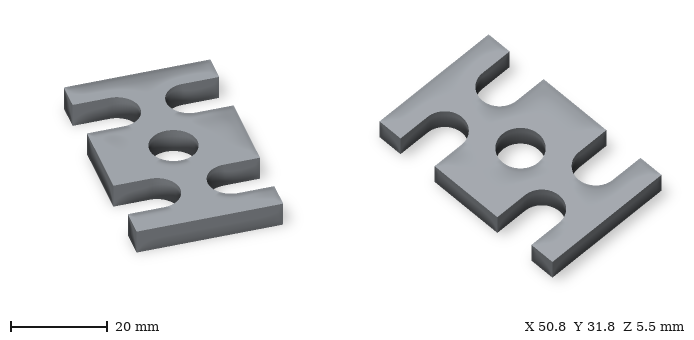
import cadquery as cq

length = 50.8
width = 31.75
thickness = 5.5

hole_diameter = 10.4

slot_width = 10.0
slot_offset = 14.2
left_half_web = 2.85
right_half_web = 3.0


def open_slot(x, side, half_web):
    """Cutter for one slot entering from the edge at the given side (+1 or -1) in Y."""
    radius = slot_width / 2
    arc_start = side * (half_web + radius)
    edge = side * width / 2
    return (
        cq.Workplane("XY")
        .moveTo(x - radius, edge)
        .lineTo(x - radius, arc_start)
        .threePointArc((x, side * half_web), (x + radius, arc_start))
        .lineTo(x + radius, edge)
        .close()
        .extrude(thickness)
    )


plate = cq.Workplane("XY").box(length, width, thickness, centered=(True, True, False))
result = plate.faces(">Z").workplane().hole(hole_diameter)

for side in (-1, 1):
    result = result.cut(open_slot(-slot_offset, side, left_half_web))
    result = result.cut(open_slot(slot_offset, side, right_half_web))